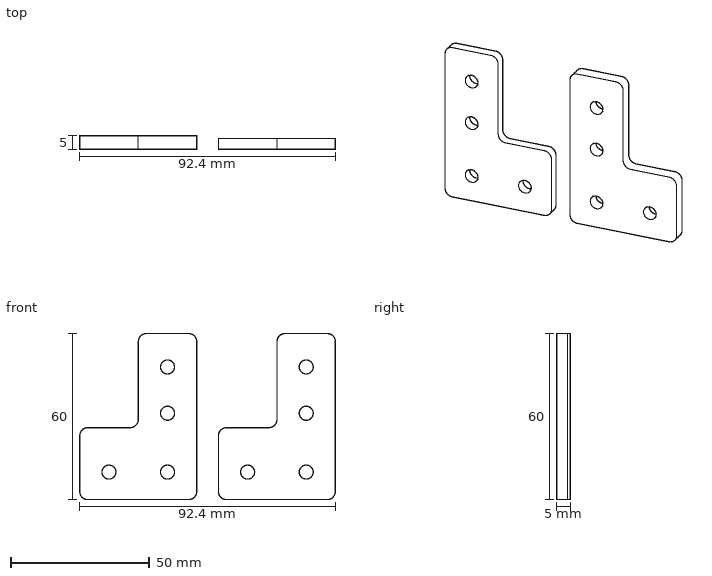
import cadquery as cq

total_length = 92.4
plate_width = 42.3
plate_height = 60.0
upright_width = plate_width / 2
foot_height = 26.05
corner_radius = 3.0

thick_plate_thickness = 5.0
thin_plate_thickness = 4.0
thin_plate_x = total_length - plate_width

hole_diameter = 5.0
upright_hole_x = plate_width - upright_width / 2
foot_hole_x = upright_width / 2
low_hole_z = 10.0
middle_hole_z = 31.2
top_hole_z = 47.9
hole_centres = [
    (foot_hole_x, low_hole_z),
    (upright_hole_x, low_hole_z),
    (upright_hole_x, middle_hole_z),
    (upright_hole_x, top_hole_z),
]


def make_plate(left_x, thickness):
    """Rounded L-shaped plate with four through holes, extending from Y = 0 to +Y."""
    step_x = plate_width - upright_width
    outline = [
        (0, 0),
        (plate_width, 0),
        (plate_width, plate_height),
        (step_x, plate_height),
        (step_x, foot_height),
        (0, foot_height),
    ]
    blank = cq.Workplane("XZ").polyline(outline).close().extrude(-thickness)
    rounded = blank.edges("|Y").fillet(corner_radius)
    holes = cq.Workplane("XZ").pushPoints(hole_centres).circle(hole_diameter / 2).extrude(-thickness)
    return rounded.cut(holes).translate((left_x, 0, 0))


thick_plate = make_plate(0, thick_plate_thickness)
thin_plate = make_plate(thin_plate_x, thin_plate_thickness)

result = cq.Compound.makeCompound([thick_plate.val(), thin_plate.val()])